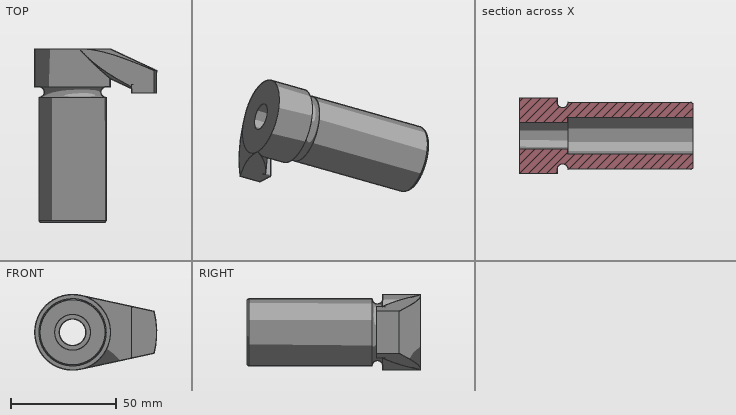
import math

import cadquery as cq


total_length = 82.5
head_radius = 36 / 2
head_length = 18
shank_radius = 32 / 2
groove_width = 5
shank_end_chamfer_angle = 30
shank_end_chamfer_length = 1
shank_end_chamfer_depth = shank_end_chamfer_length * math.tan(math.radians(shank_end_chamfer_angle))
groove_radius = groove_width / 2
shank_length = total_length - head_length - groove_width

hole_radius = 12.5 / 2
bore_radius = 17 / 2
bore_depth = shank_length

tip_radius = 40
tip_width = 20
arm_depth = 21
slope_angle = 25
back_cone_overhang = 1

underside_apex_x = 5
underside_apex_depth = 8.15
underside_half_angle = 75
underside_cone_length = 40

hook_wall_x = 28
hook_corner_radius = 0.65
hook_corner_top_depth = 17


def plan_view(depth):
    """Workplane across the Y axis at a depth below the head face; extrudes toward -Y."""
    return cq.Workplane("XZ", origin=(0, -depth, 0))


def revolved_stem():
    """Head, undercut groove and chamfered shank as one revolved profile."""
    groove_start = -head_length
    groove_end = -head_length - groove_width
    groove_bottom = (shank_radius - groove_radius, -head_length - groove_radius)
    end_radius = shank_radius - shank_end_chamfer_depth
    chamfer_start = -total_length + shank_end_chamfer_length
    return (
        cq.Workplane("XY")
        .moveTo(0, 0)
        .lineTo(head_radius, 0)
        .lineTo(head_radius, groove_start)
        .lineTo(shank_radius, groove_start)
        .threePointArc(groove_bottom, (shank_radius, groove_end))
        .lineTo(shank_radius, chamfer_start)
        .lineTo(end_radius, -total_length)
        .lineTo(0, -total_length)
        .close()
        .revolve(360, (0, 0, 0), (0, 1, 0))
    )


def arm_blank():
    """Full-depth prism with the plan outline of the arm."""
    tip_z = tip_width / 2
    tip_x = math.sqrt(tip_radius**2 - tip_z**2)
    tangent_angle = math.atan2(tip_z, tip_x) + math.acos(head_radius / tip_radius)
    tangent_x = head_radius * math.cos(tangent_angle)
    tangent_z = head_radius * math.sin(tangent_angle)
    return (
        plan_view(0)
        .moveTo(tangent_x, -tangent_z)
        .lineTo(tip_x, -tip_z)
        .threePointArc((tip_radius, 0), (tip_x, tip_z))
        .lineTo(tangent_x, tangent_z)
        .close()
        .extrude(arm_depth)
    )


def back_cone():
    """Solid below the conical back, which falls away from the rim of the head."""
    outer_radius = tip_radius + back_cone_overhang
    rim_drop = (outer_radius - head_radius) * math.tan(math.radians(slope_angle))
    return (
        cq.Workplane("XY")
        .polyline([
            (0, 0),
            (head_radius, 0),
            (outer_radius, -rim_drop),
            (outer_radius, -arm_depth),
            (0, -arm_depth),
        ])
        .close()
        .revolve(360, (0, 0, 0), (0, 1, 0))
    )


def underside_cone():
    """Solid cone above the underside, opening upward and toward the arm tip."""
    axis_angle = math.radians(underside_half_angle - slope_angle)
    base_radius = underside_cone_length * math.tan(math.radians(underside_half_angle))
    return cq.Workplane(cq.Solid.makeCone(
        0,
        base_radius,
        underside_cone_length,
        pnt=cq.Vector(underside_apex_x, -underside_apex_depth, 0),
        dir=cq.Vector(math.cos(axis_angle), math.sin(axis_angle), 0),
    ))


def beyond_hook_wall(top_depth):
    """Block from the hook's inner wall outward, between a depth and the hook face."""
    length = tip_radius - hook_wall_x
    return (
        plan_view(top_depth)
        .center(hook_wall_x + length / 2, 0)
        .rect(length, 2 * head_radius)
        .extrude(arm_depth - top_depth)
    )


def hooked_arm():
    """Arm with conical back and underside, ending in a hook with rounded inner corners."""
    blank = arm_blank().intersect(back_cone())
    hook_block = blank.intersect(beyond_hook_wall(hook_corner_top_depth))
    wall_corners = hook_block.faces("<X").edges("|Y")
    corner_waste = hook_block.cut(wall_corners.fillet(hook_corner_radius))
    arm_above_underside = blank.intersect(underside_cone())
    hook = blank.intersect(beyond_hook_wall(0))
    return arm_above_underside.union(hook).cut(corner_waste)


def stepped_bore():
    """Through hole widened to the bore from the free end of the shank."""
    hole = plan_view(0).circle(hole_radius).extrude(total_length)
    bore = plan_view(total_length - bore_depth).circle(bore_radius).extrude(bore_depth)
    return hole.union(bore)


result = revolved_stem().union(hooked_arm()).cut(stepped_bore())